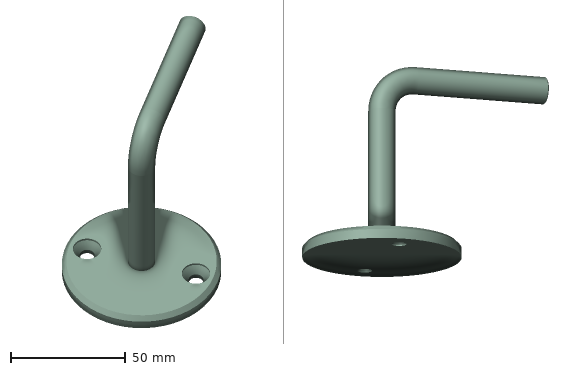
import cadquery as cq

plate_diameter = 70.0
plate_thickness = 6.0
plate_chamfer = 2.0

hole_spacing = 50.0
hole_diameter = 6.5
sink_diameter = 12.4
sink_rim_depth = 1.0
sink_cone_depth = (sink_diameter - hole_diameter) / 2

overall_length = 110.0
overall_height = 87.0
rod_diameter = 12.0
rod_radius = rod_diameter / 2
bend_radius = 15.0
tip_chamfer = 0.5
arm_height = overall_height - rod_radius
tip_y = overall_length - plate_diameter / 2


def make_screw_hole(x):
    """Solid to cut away: through hole, cone and short straight rim."""
    hole_radius = hole_diameter / 2
    sink_radius = sink_diameter / 2
    rim_bottom = plate_thickness - sink_rim_depth
    profile = (
        cq.Workplane("XZ")
        .lineTo(hole_radius, 0)
        .lineTo(hole_radius, rim_bottom - sink_cone_depth)
        .lineTo(sink_radius, rim_bottom)
        .lineTo(sink_radius, plate_thickness)
        .lineTo(0, plate_thickness)
        .close()
    )
    return profile.revolve(360, (0, 0, 0), (0, 1, 0)).translate((x, 0, 0))


def make_plate():
    """Round plate resting on Z = 0, with a chamfered top rim and two screw holes."""
    plate = cq.Workplane("XY").circle(plate_diameter / 2).extrude(plate_thickness)
    plate = plate.faces(">Z").edges().chamfer(plate_chamfer)
    for side in (-1, 1):
        plate = plate.cut(make_screw_hole(side * hole_spacing / 2))
    return plate


def make_rod():
    """Rod rising from the plate's top face, bent through 90 degrees toward +Y."""
    path = (
        cq.Workplane("YZ")
        .moveTo(0, plate_thickness)
        .lineTo(0, arm_height - bend_radius)
        .radiusArc((bend_radius, arm_height), bend_radius)
        .lineTo(tip_y, arm_height)
    )
    rod = cq.Workplane("XY").workplane(offset=plate_thickness).circle(rod_radius).sweep(path)
    return rod.faces(">Y").edges().chamfer(tip_chamfer)


plate = make_plate()
rod = make_rod()

result = cq.Compound.makeCompound([plate.val(), rod.val()])